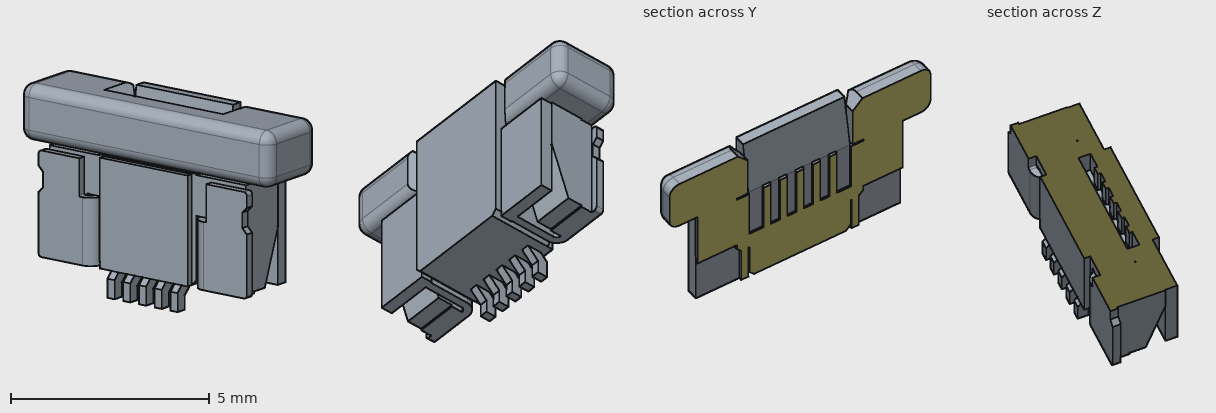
import cadquery as cq
import math


overall_depth = 2.05
overall_height = 5.11

cap_length = 7.93
cap_depth = 2.0
cap_height = 1.475
cap_radius = 0.31
body_height = 2.93
top_z = body_height + cap_height

mouth_half_width = 1.585
mouth_front = 1.13
mouth_bevel = 0.3

body_front = 0.17
core_half_width = 1.54
top_clearance = 0.03
side_height = body_height - top_clearance
core_chamfer = 0.14
panel_half_width = core_half_width - core_chamfer
flank_half_width = 3.12
rear_plate_half_width = 3.1
rear_plate_front = 1.49
rear_plate_back = 1.82

tongue_tip_front = 1.69
tongue_root_front = 1.44
slot_floor = 1.5

flank_rake_top = 1.54
flank_foot_back = 0.94
flank_step_back = 0.51
flank_step_height = 0.05

shoulder_bottom = 1.01
shoulder_chamfer = 0.15

metal_thickness = 0.22
fitting_front = -0.05
fitting_half_width = 3.31
fitting_top = 2.78
fitting_inner_edge = 2.015
bend_start = 1.92
bend_radius = 0.36
bend_top = 1.785
corner_radius = 0.095
inner_corner_radius = 0.05
notch_depth = 0.14
notch_bottom = 1.69
notch_top = 2.38
pocket_top = 1.83
pocket_depth = 0.37

pin_count = 5
pin_pitch = 0.5
pin_width = 0.23
pin_front = cap_depth - overall_depth
pin_thickness = 0.3
pin_bottom = top_z - overall_height
pin_bend_z = -0.21
pin_crank_angle = 45.0
contact_height = 0.08


def box(x0, x1, y0, y1, z0, z1):
    """Box between two opposite corners."""
    return cq.Workplane("XY").box(x1 - x0, y1 - y0, z1 - z0, centered=False).translate((x0, y0, z0))


def centred_box(half_width, y0, y1, z0, z1):
    """Box symmetric about X = 0."""
    return box(-half_width, half_width, y0, y1, z0, z1)


def extrude_along_y(points, y0, y1):
    """Extrude an outline of (x, z) points from y0 to y1."""
    return cq.Workplane("XZ", origin=(0, y0, 0)).polyline(points).close().extrude(y0 - y1)


def extrude_along_x(points, x0, x1):
    """Extrude an outline of (y, z) points from x0 to x1."""
    return cq.Workplane("YZ", origin=(x0, 0, 0)).polyline(points).close().extrude(x1 - x0)


def make_cap():
    half_length = cap_length / 2
    cap = centred_box(half_length, 0, cap_depth, body_height, top_z).edges().fillet(cap_radius)
    mouth = centred_box(mouth_half_width, mouth_front, cap_depth, body_height, top_z)
    flare_depth = 2 * (cap_depth - mouth_front)
    flare = (
        cq.Workplane("XY", origin=(0, cap_depth, top_z))
        .rect(2 * (mouth_half_width + mouth_bevel), flare_depth + 2 * mouth_bevel)
        .workplane(offset=-mouth_bevel)
        .rect(2 * mouth_half_width, flare_depth)
        .loft(ruled=True)
    )
    cap = cap.cut(mouth).cut(flare)
    rear_opening = (
        cq.Workplane("XY", origin=(0, 0, body_height))
        .polyline(
            [
                (-mouth_half_width, cap_depth - mouth_bevel),
                (mouth_half_width, cap_depth - mouth_bevel),
                (mouth_half_width + mouth_bevel, cap_depth),
                (-mouth_half_width - mouth_bevel, cap_depth),
            ]
        )
        .close()
        .extrude(cap_height)
    )
    return cap.cut(rear_opening)


def make_core():
    core = extrude_along_y(
        [
            (-panel_half_width, 0),
            (panel_half_width, 0),
            (core_half_width, core_chamfer),
            (core_half_width, body_height),
            (-core_half_width, body_height),
            (-core_half_width, core_chamfer),
        ],
        body_front,
        cap_depth,
    )
    panel = centred_box(panel_half_width, 0, body_front, 0, side_height)
    slot = centred_box(core_half_width, mouth_front, tongue_root_front, slot_floor, body_height)
    tongue = extrude_along_x(
        [
            (cap_depth, body_height),
            (cap_depth, top_z),
            (tongue_tip_front, top_z),
            (tongue_root_front, body_height),
        ],
        -core_half_width,
        core_half_width,
    )
    return core.union(panel).cut(slot).union(tongue)


def make_right_side():
    """Flank, shoulder and rear plate on the +X side of the core."""
    flank = extrude_along_x(
        [
            (body_front, 0),
            (flank_step_back, 0),
            (flank_step_back, flank_step_height),
            (flank_foot_back, flank_step_height),
            (rear_plate_front, flank_rake_top),
            (rear_plate_front, body_height),
            (flank_step_back, body_height),
            (flank_step_back, side_height),
            (body_front, side_height),
        ],
        bend_start,
        flank_half_width,
    )
    shoulder = extrude_along_y(
        [
            (core_half_width, shoulder_bottom),
            (bend_start - shoulder_chamfer, shoulder_bottom),
            (bend_start, shoulder_bottom + shoulder_chamfer),
            (bend_start, side_height),
            (core_half_width, side_height),
        ],
        body_front,
        rear_plate_front,
    )
    rear_plate = box(core_half_width, rear_plate_half_width, rear_plate_front, rear_plate_back, 0, side_height)
    pocket = box(core_half_width, bend_start, body_front, body_front + pocket_depth, 0, pocket_top)
    return flank.union(shoulder).union(rear_plate).cut(pocket)


def make_right_fitting():
    """Solder pad on the +X side with a rounded bend into a leg running to the rear."""
    pad_back = fitting_front + metal_thickness
    notch_edge = fitting_half_width - notch_depth
    pad = box(bend_start, fitting_half_width, fitting_front, pad_back, 0, fitting_top)
    pad = pad.edges("|Y and >X").fillet(corner_radius)
    corner_cut = box(bend_start, fitting_inner_edge, fitting_front, pad_back, bend_top, fitting_top)
    corner_cut = corner_cut.edges("|Y and >X and <Z").fillet(inner_corner_radius)
    notch = extrude_along_y(
        [
            (fitting_half_width, notch_bottom),
            (notch_edge, notch_bottom + notch_depth),
            (notch_edge, notch_top - notch_depth),
            (fitting_half_width, notch_top),
        ],
        fitting_front,
        pad_back,
    )
    pad = pad.cut(corner_cut).cut(notch)

    outer_x = bend_start - bend_radius
    inner_radius = bend_radius - metal_thickness
    bend_y = fitting_front + bend_radius
    diagonal = math.sqrt(0.5)
    bend_and_leg = (
        cq.Workplane("XY")
        .moveTo(bend_start, fitting_front)
        .threePointArc(
            (bend_start - bend_radius * diagonal, bend_y - bend_radius * diagonal),
            (outer_x, bend_y),
        )
        .lineTo(outer_x, rear_plate_front)
        .lineTo(outer_x + metal_thickness, rear_plate_front)
        .lineTo(outer_x + metal_thickness, bend_y)
        .threePointArc(
            (bend_start - inner_radius * diagonal, bend_y - inner_radius * diagonal),
            (bend_start, pad_back),
        )
        .close()
        .extrude(bend_top)
    )
    return pad.union(bend_and_leg)


def make_pin(x):
    """Solder tail at x, cranked forward below the housing, and its contact in the cable slot."""
    tail_back = pin_front + pin_thickness
    inner_bend_z = pin_bend_z - pin_thickness * math.tan(math.radians(pin_crank_angle / 2))
    x0 = x - pin_width / 2
    x1 = x + pin_width / 2
    tail = extrude_along_x(
        [
            (pin_front, pin_bottom),
            (pin_front, pin_bend_z),
            (pin_front - pin_bend_z, 0),
            (tail_back - inner_bend_z, 0),
            (tail_back, inner_bend_z),
            (tail_back, pin_bottom),
        ],
        x0,
        x1,
    )
    contact = extrude_along_x(
        [
            (tongue_root_front, slot_floor),
            (tongue_root_front, body_height),
            (tongue_root_front - contact_height, body_height - contact_height),
            (tongue_root_front - contact_height, slot_floor),
        ],
        x0,
        x1,
    )
    return tail.union(contact)


right_half = make_right_side().union(make_right_fitting())
left_half = right_half.mirror("YZ")
result = make_core().union(right_half).union(left_half).union(make_cap())
for i in range(pin_count):
    result = result.union(make_pin((i - (pin_count - 1) / 2) * pin_pitch))